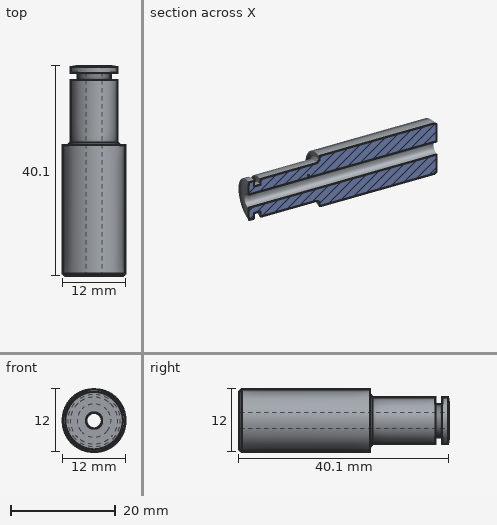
import cadquery as cq

body_diameter = 12.0
journal_diameter = 9.0
groove_diameter = 6.4
tip_diameter = 6.5
bore_diameter = 3.0

body_length = 25.0
journal_length = 14.9
collar_width = 1.1
groove_width = 1.3
tip_height = 0.2

front_chamfer = 0.5
root_bevel = 0.5

collar_end = body_length + journal_length
groove_end = collar_end - collar_width
groove_start = groove_end - groove_width
total_length = collar_end + tip_height


def cylinder(diameter, start, end):
    """Solid cylinder on the Y axis between two stations."""
    return cq.Workplane("XZ", origin=(0, start, 0)).circle(diameter / 2).extrude(start - end)


def cone(start_diameter, end_diameter, start, end):
    """Truncated cone on the Y axis between two stations."""
    base_center = cq.Vector(0, start, 0)
    solid = cq.Solid.makeCone(
        start_diameter / 2, end_diameter / 2, end - start, base_center, cq.Vector(0, 1, 0)
    )
    return cq.Workplane(solid)


def make_body():
    """Large cylinder with its front edge chamfered."""
    return cylinder(body_diameter, 0, body_length).faces("<Y").edges().chamfer(front_chamfer)


def make_root_bevel():
    """Cone that widens the journal towards the body shoulder."""
    wide_diameter = journal_diameter + 2 * root_bevel
    return cone(wide_diameter, journal_diameter, body_length, body_length + root_bevel)


def make_journal():
    """Journal, retaining ring groove, end collar and shallow conical tip."""
    journal = cylinder(journal_diameter, body_length, groove_start)
    groove_core = cylinder(groove_diameter, groove_start, groove_end)
    collar = cylinder(journal_diameter, groove_end, collar_end)
    tip = cone(journal_diameter, tip_diameter, collar_end, total_length)
    return journal.union(groove_core).union(collar).union(tip)


bore = cylinder(bore_diameter, 0, total_length)
result = make_body().union(make_root_bevel()).union(make_journal()).cut(bore)